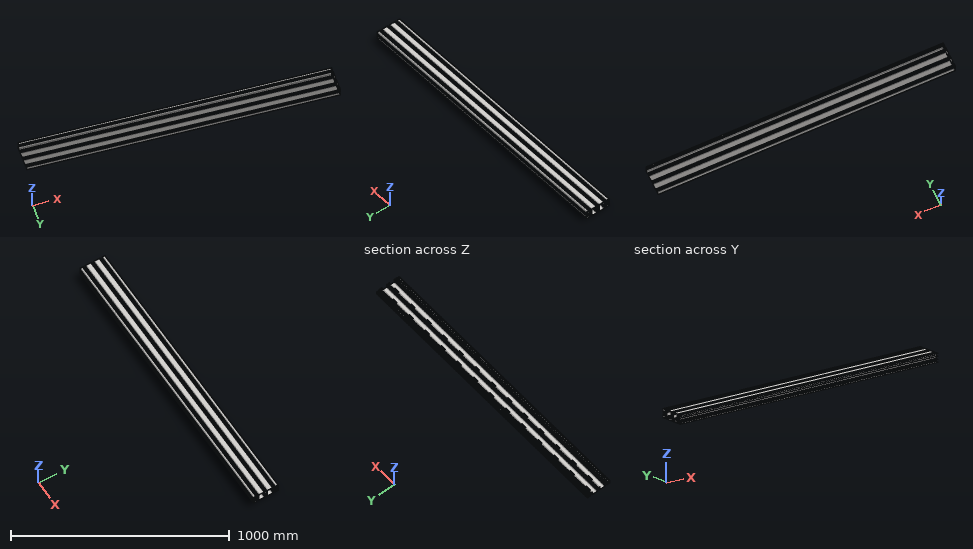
import cadquery as cq

length = 1500.0
cell = 45.0
cell_count = 3
width = cell * cell_count
edge_radius = 3.3

mouth_width = 8.8
lip_thickness = 5.0
chamber_width = 14.0
straight_depth = 10.0
floor_width = 8.0
slot_depth = 14.2

skin = 2.0
slot_wall = 1.8
corner_wall = 2.2
hollow_radius = 2.0
corner_radius = 0.8
bore_diameter = 9.0

cell_centres = [(i - (cell_count - 1) / 2) * cell for i in range(cell_count)]
face = cell / 2
hollow_top = face - skin
web_half = chamber_width / 2 + slot_wall
corner_start = chamber_width / 2 + corner_wall


def slot(centre, angle):
    """T-slot of the cell at `centre`; angle 0 opens toward +Z, 90 toward -Y."""
    half = [
        (mouth_width / 2, face),
        (mouth_width / 2, face - lip_thickness),
        (chamber_width / 2, face - lip_thickness),
        (chamber_width / 2, face - straight_depth),
        (floor_width / 2, face - slot_depth),
    ]
    mirrored = [(-y, z) for y, z in reversed(half)]
    cutter = cq.Workplane("YZ").polyline(half + mirrored).close().extrude(length)
    return cutter.rotate((0, 0, 0), (1, 0, 0), angle).translate((0, centre, 0))


def hollow(y_from, y_to, z_from, z_to, radius):
    """Rectangular hollow with rounded corners, running the whole length."""
    middle = ((y_from + y_to) / 2, (z_from + z_to) / 2)
    block = cq.Workplane("YZ").center(*middle).rect(abs(y_to - y_from), abs(z_to - z_from)).extrude(length)
    return block.edges("|X").fillet(radius)


profile = cq.Workplane("YZ").rect(width, cell).extrude(length)
profile = profile.edges("|X").fillet(edge_radius)

for centre in cell_centres:
    bore = cq.Workplane("YZ").center(centre, 0).circle(bore_diameter / 2).extrude(length)
    profile = profile.cut(slot(centre, 0)).cut(slot(centre, 180)).cut(bore)

profile = profile.cut(slot(cell_centres[0], 90)).cut(slot(cell_centres[-1], -90))

for left, right in zip(cell_centres, cell_centres[1:]):
    profile = profile.cut(hollow(left + web_half, right - web_half, -hollow_top, hollow_top, hollow_radius))

for side_y in (-1, 1):
    for side_z in (-1, 1):
        y_inner = side_y * (cell_centres[-1] + corner_start)
        y_outer = side_y * (width / 2 - skin)
        z_inner = side_z * corner_start
        z_outer = side_z * hollow_top
        profile = profile.cut(hollow(y_inner, y_outer, z_inner, z_outer, corner_radius))

result = profile